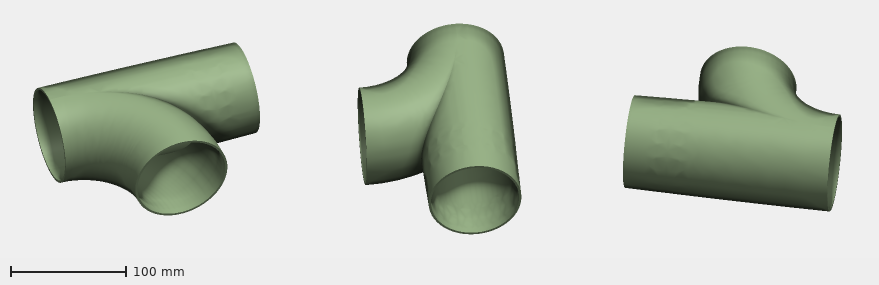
import cadquery as cq

run_length = 180.0
inlet_diameter = 85.0
outlet_diameter = 81.0
wall = 2.0
bend_radius = 89.8
bend_angle = 90

inlet_radius = inlet_diameter / 2
outlet_radius = outlet_diameter / 2

middle_taper_share = 0.25
middle_radius = inlet_radius - middle_taper_share * (inlet_radius - outlet_radius)


def tapered_run(inset):
    """Solid run along +Y, starting parallel to its axis and narrowing along a shallow arc."""
    return (
        cq.Workplane("XY")
        .moveTo(0, 0)
        .lineTo(inlet_radius - inset, 0)
        .threePointArc((middle_radius - inset, run_length / 2), (outlet_radius - inset, run_length))
        .lineTo(0, run_length)
        .close()
        .revolve(360, (0, 0, 0), (0, 1, 0))
    )


def branch_elbow(inset):
    """Solid elbow turning from +Y to +X, trimmed to the side of the run axis it leaves on."""
    elbow = (
        cq.Workplane("XZ")
        .circle(inlet_radius - inset)
        .revolve(bend_angle, (bend_radius, 0, 0), (bend_radius, -1, 0))
    )
    branch_side = cq.Workplane("XY").box(run_length, run_length, run_length, centered=(False, False, True))
    return elbow.intersect(branch_side)


def branched_pipe(inset):
    """Run and elbow joined at their common inlet."""
    return tapered_run(inset).union(branch_elbow(inset))


result = branched_pipe(0).cut(branched_pipe(wall))